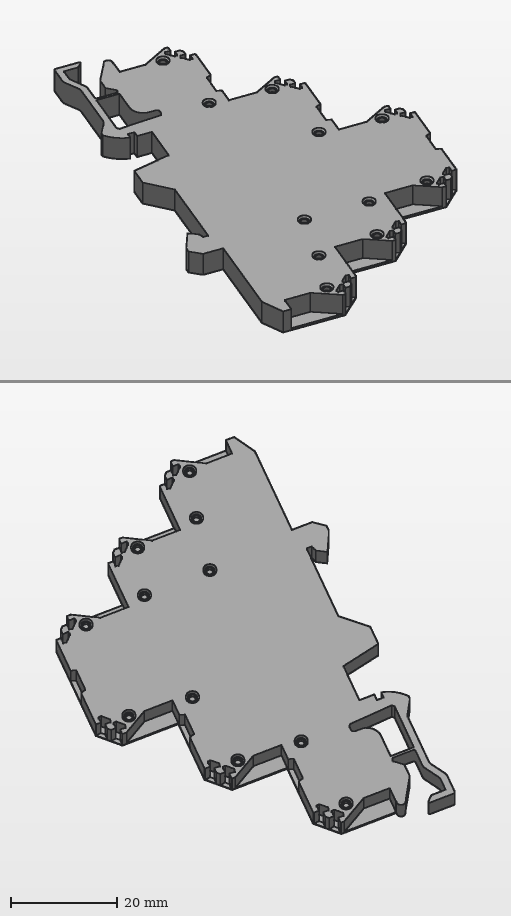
import cadquery as cq
import math

plate_length = 84.8
plate_height = 56.8
thickness = 5.1
floor_z = 0.5

tier_rise = 15.3
tier_lefts = [2.7, 19.25, 35.9]
tier_rights = [plate_length, 73.7, 62.7]
bevels = [4.1, 4.0, 3.8]
bevel_angle = 45.0
tier_tops = [plate_height - tier_rise * step for step in (2, 1, 0)]

pocket_widths = [3.05, 2.8, 2.8]
pocket_start_drop = 4.7
pocket_angle = 60.0

notch_spacing = 3.05
neck_half = 0.4
mouth_depth = 0.72
inner_half = 1.3
inner_depth = 0.8
back_half = 0.9
back_depth = 1.3
mouth_half = neck_half + mouth_depth
ramp_edge_z = 0.25

label_centres = [16.3, 32.8, 49.35]
label_depth = 1.0
label_base = 4.4
label_mouth = 5.1

hole_diameter = 1.35
hole_depth = 1.3
sink_diameter = 2.55
sink_floor_diameter = 1.9
sink_depth = 0.4
corner_hole_gap = 0.25
corner_hole_drop = 6.45
inner_holes = [(21.3, 22.55), (37.8, 37.8), (61.0, 37.8), (61.0, 24.4), (72.0, 22.5)]

nose_top = 10.9
nose_middle = (1.6, 10.1)
tooth_top = (24.85, 4.7)
tooth_middle = (23.8, 2.2)
tooth_tip = (22.05, 0.2)
arm_top = 3.5
arm_bottom = 2.0
rib_left = 11.4
rib_right = 11.9
foot_seat = 9.1
slot_left = 19.25
slot_right = 21.0
slot_top = 13.0
slot_radius = 0.6
window_top = 8.2
window_arc_radius = 2.9
window_right = 21.5
corner_radius = 0.4
arm_end_radius = 0.3
tip_radius = 0.25
arm_tip = (0, 5.8)
bend_radius = 1.7
arm_under_bends = [(18.5, arm_bottom), (7.6, arm_bottom), (4.2, 0)]
arm_over_bends = [(4.0, 1.4), (7.4, arm_top)]

rail_edge = 5.85
right_hook_x = tier_rights[2]
right_edge = 6.9


def prism(points, bottom, top=thickness):
    return cq.Workplane("XY").workplane(offset=bottom).polyline(points).close().extrude(top - bottom)


def upper_outline():
    """Points over the tiers, from the left end to the right end."""
    left_side = []
    right_side = []
    for left, right, bevel, top in zip(tier_lefts, tier_rights, bevels, tier_tops):
        if left_side:
            left_side.append((left, top - tier_rise))
            right_side.append((right, top - tier_rise))
        left_side += [(left, top - bevel), (left + bevel, top)]
        right_side += [(right, top - bevel), (right - bevel, top)]
    return left_side + right_side[::-1]


def lower_right_outline():
    """Points under the plate, from the right end to the tooth of the spring foot."""
    return [
        (plate_length, 9.3), (80.5, right_edge),
        (right_hook_x, right_edge), (right_hook_x, 2.7), (60.9, 0.5), (59.8, 0.5),
        (55.8, 2.55), (56.9, 4.4), (58.0, 4.8), (58.0, rail_edge),
        (42.65, rail_edge), (38.25, 1.2), (34.35, 1.2), (32.65, foot_seat),
        (24.9, foot_seat), (24.9, 6.0), (23.7, 6.0), (23.7, 4.7), tooth_top,
    ]


def spring_foot_outline():
    """Points around the arm, from the tooth tip to the underside of the nose."""
    return [
        (21.5, 0.2), *arm_under_bends,
        (0, 0), arm_tip, (1.35, 4.4), (1.35, 1.4),
        *arm_over_bends, (rib_left, arm_top), (rib_left, window_top),
        (10.7, window_top), (9.2, 6.5), (6.7, 6.5), (2.3, 9.25),
    ]


def round_edges(body, points, radius):
    """Fillet the upright edges standing on the given points."""
    reach = 0.1
    for x, y in points:
        box = cq.selectors.BoxSelector((x - reach, y - reach, 0), (x + reach, y + reach, thickness))
        body = body.edges("|Z").edges(box).fillet(radius)
    return body


def plate():
    nose_end = (tier_lefts[0], nose_top)
    body = (
        cq.Workplane("XY")
        .moveTo(*nose_end)
        .polyline(upper_outline() + lower_right_outline(), includeCurrent=True)
        .threePointArc(tooth_middle, tooth_tip)
        .polyline(spring_foot_outline(), includeCurrent=True)
        .threePointArc(nose_middle, nose_end)
        .close()
        .extrude(thickness)
    )
    body = round_edges(body, [(rib_left, arm_top), (rib_left, window_top)], corner_radius)
    body = round_edges(body, [(0, 0)], arm_end_radius)
    body = round_edges(body, [arm_tip], tip_radius)
    return round_edges(body, arm_under_bends + arm_over_bends, bend_radius)


def spring_window():
    """Opening between the arm and the body, running up into a round-ended slot."""
    arc_x = slot_left - window_arc_radius
    arc_y = window_top + window_arc_radius
    arc_reach = window_arc_radius * math.sqrt(0.5)
    bend = slot_radius * (1 - math.sqrt(0.5))
    return (
        cq.Workplane("XY")
        .moveTo(rib_right, arm_top)
        .lineTo(rib_right, window_top)
        .lineTo(arc_x, window_top)
        .threePointArc((arc_x + arc_reach, arc_y - arc_reach), (slot_left, arc_y))
        .lineTo(slot_left, slot_top - slot_radius)
        .threePointArc((slot_left + bend, slot_top - bend), (slot_left + slot_radius, slot_top))
        .lineTo(slot_right - slot_radius, slot_top)
        .threePointArc((slot_right - bend, slot_top - bend), (slot_right, slot_top - slot_radius))
        .lineTo(window_right, arm_top + corner_radius)
        .lineTo(window_right - corner_radius, arm_top)
        .close()
        .extrude(thickness)
    )


def side_pocket(side_x, inward, width, tier_top):
    """Pocket in one end of a tier; inward is +1 for a left end and -1 for a right end."""
    start = tier_top - pocket_start_drop
    inner_x = side_x + inward * width
    inner_y = start - width * math.tan(math.radians(pocket_angle))
    bottom = tier_top - tier_rise
    return prism([(side_x, start), (inner_x, inner_y), (inner_x, bottom), (side_x, bottom)], floor_z)


def bow_tie_notch():
    """Notch with its mouth on the X axis, running towards -Y, with a ramp in the mouth."""
    half = [
        (mouth_half, 0),
        (neck_half, -mouth_depth),
        (inner_half, -mouth_depth - inner_depth),
        (back_half, -mouth_depth - back_depth),
    ]
    mirrored = [(-x, y) for x, y in reversed(half)]
    notch = prism(half + mirrored, floor_z)
    mouth = prism(half[:2] + mirrored[-2:], 0)
    above_ramp = (
        cq.Workplane("YZ")
        .polyline([(0, ramp_edge_z), (-mouth_depth, floor_z), (0, floor_z)])
        .close()
        .extrude(mouth_half, both=True)
    )
    return notch.union(mouth.intersect(above_ramp))


def bevel_notches(side_x, inward, bevel, tier_top):
    """The two notches of one bevel, spread evenly about its middle."""
    notches = []
    for along in (-notch_spacing / 2, notch_spacing / 2):
        rise = bevel / 2 + along * math.sin(math.radians(bevel_angle))
        notch = bow_tie_notch().rotate((0, 0, 0), (0, 0, 1), inward * bevel_angle)
        notches.append(notch.translate((side_x + inward * rise, tier_top - bevel + rise, 0)))
    return notches


def label_recess(centre, tier_top):
    base = tier_top - label_depth
    return prism(
        [
            (centre - label_mouth / 2, tier_top),
            (centre - label_base / 2, base),
            (centre + label_base / 2, base),
            (centre + label_mouth / 2, tier_top),
        ],
        floor_z,
    )


def countersunk_hole(x, y):
    sink = (
        cq.Workplane("XY")
        .workplane(offset=thickness - sink_depth)
        .circle(sink_floor_diameter / 2)
        .workplane(offset=sink_depth)
        .circle(sink_diameter / 2)
        .loft()
    )
    bore = (
        cq.Workplane("XY")
        .workplane(offset=thickness - hole_depth)
        .circle(hole_diameter / 2)
        .extrude(hole_depth)
    )
    return sink.union(bore).translate((x, y, 0))


result = plate().cut(spring_window())

hole_places = list(inner_holes)
for left, right, bevel, width, label, top in zip(
    tier_lefts, tier_rights, bevels, pocket_widths, label_centres, tier_tops
):
    result = result.cut(label_recess(label, top))
    for side_x, inward in ((left, 1), (right, -1)):
        result = result.cut(side_pocket(side_x, inward, width, top))
        for notch in bevel_notches(side_x, inward, bevel, top):
            result = result.cut(notch)
        hole_places.append((side_x + inward * (width + corner_hole_gap), top - corner_hole_drop))

for x, y in hole_places:
    result = result.cut(countersunk_hole(x, y))